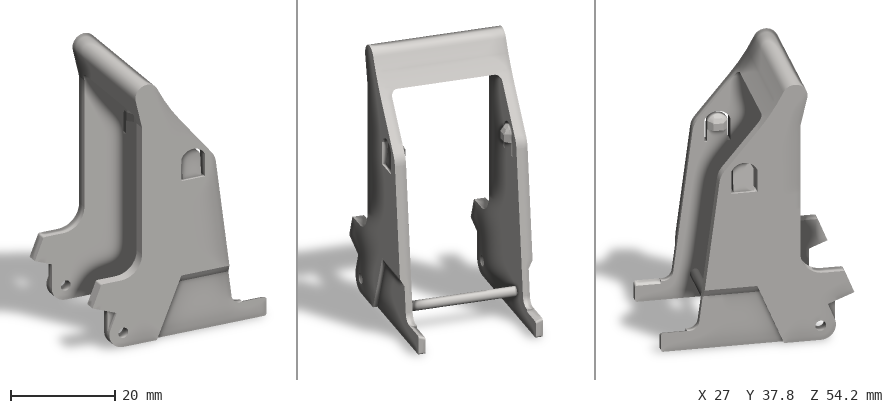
import cadquery as cq
import math


WIDTH = 27.0
LEG_THICKNESS = 2.3
HALF_WIDTH = WIDTH / 2
INNER_X = HALF_WIDTH - LEG_THICKNESS
OPENING_WIDTH = 2 * INNER_X
OPENING_TOP = 47.05
OPENING_RADIUS = 1.3

HEIGHT = 54.2
HEAD_RADIUS = 2.5
HEAD_Y = 1.1
HEAD_Z = HEIGHT - HEAD_RADIUS
HEAD_BACK_LEAN = 27.0
HEAD_FRONT_LEAN = 14.5
HEAD_FRONT_BOTTOM = 45.35
BLEND_BOTTOM = (8.2, 45.35)

SHOULDER = (15.7, 36.25)
SHOULDER_RADIUS = 4.1
FOOT_BACK = 27.15
OPENING_LENGTH = 2 * FOOT_BACK
FOOT_HEIGHT = 3.9
FOOT_CORNER_Y = 19.9
FOOT_CORNER_RADIUS = 1.95
FOOT_END_RADIUS = 0.45
FOOT_SLOPE_LENGTH = 5.1
FOOT_SLOPE_DROP = 0.515

NOSE_TOP = 14.1
NOSE_TOP_Y = -8.7
NOSE_TIP = (-10.6, 9.45)
NOSE_RADIUS = 0.45
NOSE_BLEND_RADIUS = 4.55
NOSE_SLANT = math.atan2(NOSE_TOP_Y - NOSE_TIP[0], NOSE_TOP - NOSE_TIP[1])
BOSS_RADIUS = 3.0
PIVOT_Y = -4.0
PIVOT_Z = BOSS_RADIUS
PIVOT_DIAMETER = 2.1
BOSS_FRONT = PIVOT_Y - BOSS_RADIUS

STEP_DEPTH = 0.85
NOTCH_TOP = 7.4
RECESS_TOP = 12.5
RECESS_FULL_DEPTH_TOP = 10.95
RECESS_TOP_Y = 8.45
RECESS_BOTTOM_Y = 3.2

CHAMFER_WIDTH = 1.1
CHAMFER_HEIGHT = 1.75
CHAMFER_BACK = -0.15

ROD_DIAMETER = 2.0
ROD_Y = 15.4
ROD_Z = 4.95

LATCH_Y = 11.0
LATCH_ARC_Z = 35.95
LATCH_BOTTOM = 32.4
ARM_WIDTH = 4.0
ARM_ARC_RADIUS = 2.2
LATCH_GAP = 0.55
WINDOW_WIDTH = ARM_WIDTH + 2 * LATCH_GAP
WINDOW_ARC_RADIUS = ARM_ARC_RADIUS + LATCH_GAP
ARM_TOP = LATCH_ARC_Z + ARM_ARC_RADIUS
ARM_BOTTOM_INSET = 0.6
ARM_TOP_INSET = 1.2

HOOK_REACH = 1.2
HOOK_SIDE_STEP = 0.15
HOOK_TAPER = 45.0
HOOK_BOTTOM = 35.05
HOOK_FACE_TOP = 36.5
HOOK_KNEE_REACH = 0.7

def slope_z(start, end, y):
    """Height at y of the straight line from start to end."""
    return start[1] + (end[1] - start[1]) * (y - start[0]) / (end[0] - start[0])

def pivot_circle_point(angle):
    """Point of the boss rim, with the angle measured upwards from its front."""
    return (PIVOT_Y - BOSS_RADIUS * math.cos(angle), PIVOT_Z + BOSS_RADIUS * math.sin(angle))

NOTCH_RIM = pivot_circle_point(NOSE_SLANT)
NOTCH_CORNER = (NOTCH_RIM[0] + (NOTCH_TOP - NOTCH_RIM[1]) * math.tan(NOSE_SLANT), NOTCH_TOP)
BOSS_TOP = slope_z(NOSE_TIP, NOTCH_CORNER, BOSS_FRONT)

def round_corner(body, y, z, radius):
    """Fillet the X-parallel edge nearest to the given outline corner."""
    corner = cq.selectors.NearestToPointSelector((0, y, z))
    return body.edges("|X").edges(corner).fillet(radius)

def side_body():
    """The side outline carried across the whole width."""
    back = math.radians(HEAD_BACK_LEAN)
    front = math.radians(HEAD_FRONT_LEAN)
    head_back = (HEAD_Y + HEAD_RADIUS * math.cos(back), HEAD_Z + HEAD_RADIUS * math.sin(back))
    head_front = (HEAD_Y - HEAD_RADIUS * math.cos(front), HEAD_Z - HEAD_RADIUS * math.sin(front))
    body = (
        cq.Workplane("YZ", origin=(-HALF_WIDTH, 0, 0))
        .moveTo(FOOT_BACK, 0)
        .lineTo(FOOT_BACK, FOOT_HEIGHT)
        .lineTo(FOOT_CORNER_Y, FOOT_HEIGHT)
        .lineTo(*SHOULDER)
        .lineTo(*BLEND_BOTTOM)
        .tangentArcPoint(head_back, relative=False)
        .threePointArc((HEAD_Y, HEIGHT), head_front)
        .lineTo(0, HEAD_FRONT_BOTTOM)
        .lineTo(0, NOSE_TOP)
        .lineTo(NOSE_TOP_Y, NOSE_TOP)
        .lineTo(*NOSE_TIP)
        .lineTo(BOSS_FRONT, BOSS_TOP)
        .lineTo(BOSS_FRONT, 0)
        .close()
        .extrude(WIDTH)
    )
    body = round_corner(body, FOOT_BACK, 0, FOOT_END_RADIUS)
    body = round_corner(body, FOOT_CORNER_Y, FOOT_HEIGHT, FOOT_CORNER_RADIUS)
    body = round_corner(body, *SHOULDER, SHOULDER_RADIUS)
    body = round_corner(body, 0, NOSE_TOP, NOSE_BLEND_RADIUS)
    body = round_corner(body, NOSE_TOP_Y, NOSE_TOP, NOSE_RADIUS)
    return round_corner(body, BOSS_FRONT, 0, BOSS_RADIUS)

def leg_opening():
    """Space between the legs, open at the bottom and rounded under the crossbar."""
    return (
        cq.Workplane("XY")
        .box(OPENING_WIDTH, OPENING_LENGTH, OPENING_TOP, centered=(True, True, False))
        .edges("|Y and >Z")
        .fillet(OPENING_RADIUS)
    )

def rear_recess():
    """Shallow step in the outer face of the +X leg, with a sloping upper edge."""
    floor_x = HALF_WIDTH - STEP_DEPTH
    section = (
        cq.Workplane("XZ", origin=(0, FOOT_BACK, 0))
        .polyline([
            (HALF_WIDTH, 0),
            (floor_x, 0),
            (floor_x, RECESS_FULL_DEPTH_TOP),
            (HALF_WIDTH, RECESS_TOP),
        ])
        .close()
        .extrude(FOOT_BACK)
    )
    area = (
        cq.Workplane("YZ")
        .polyline([
            (RECESS_BOTTOM_Y, 0),
            (RECESS_TOP_Y, RECESS_TOP),
            (FOOT_BACK, RECESS_TOP),
            (FOOT_BACK, 0),
        ])
        .close()
        .extrude(HALF_WIDTH)
    )
    return section.intersect(area)

def foot_slope():
    """Wedge off the top of the +X foot, which then falls towards the middle."""
    return (
        cq.Workplane("XZ", origin=(0, FOOT_BACK, 0))
        .polyline([
            (HALF_WIDTH - STEP_DEPTH, FOOT_HEIGHT),
            (INNER_X, FOOT_HEIGHT - FOOT_SLOPE_DROP),
            (INNER_X, FOOT_HEIGHT),
        ])
        .close()
        .extrude(FOOT_SLOPE_LENGTH)
    )

def round_foot_end(body, side):
    """Fillet the sloping upper edge at the end of one foot; side is 1 or -1."""
    middle_x = side * (INNER_X + HALF_WIDTH - STEP_DEPTH) / 2
    middle_z = FOOT_HEIGHT - FOOT_SLOPE_DROP / 2
    edge = cq.selectors.NearestToPointSelector((middle_x, FOOT_BACK, middle_z))
    return body.edges(edge).fillet(FOOT_END_RADIUS)

def boss_notch():
    """Wedge removed from the outer face of the +X boss, under the nose."""
    return (
        cq.Workplane("YZ", origin=(HALF_WIDTH - STEP_DEPTH, 0, 0))
        .moveTo(*NOTCH_CORNER)
        .lineTo(*NOTCH_RIM)
        .threePointArc(pivot_circle_point(NOSE_SLANT / 2), (BOSS_FRONT, PIVOT_Z))
        .lineTo(BOSS_FRONT, BOSS_TOP)
        .close()
        .extrude(STEP_DEPTH)
    )

def inner_chamfer():
    """Chamfer on the inner lower edge of the +X boss."""
    return (
        cq.Workplane("XZ", origin=(0, CHAMFER_BACK, 0))
        .polyline([(INNER_X, 0), (INNER_X + CHAMFER_WIDTH, 0), (INNER_X, CHAMFER_HEIGHT)])
        .close()
        .extrude(CHAMFER_BACK - BOSS_FRONT)
    )

def arch(start_x, width, arc_radius):
    """Arched latch outline on the plane at start_x, ready to extrude."""
    half = width / 2
    spring_z = LATCH_ARC_Z + math.sqrt(arc_radius**2 - half**2)
    return (
        cq.Workplane("YZ", origin=(start_x, LATCH_Y, 0))
        .moveTo(-half, LATCH_BOTTOM)
        .lineTo(-half, spring_z)
        .threePointArc((0, LATCH_ARC_Z + arc_radius), (half, spring_z))
        .lineTo(half, LATCH_BOTTOM)
        .close()
    )

def latch_section(points):
    """Prism across the latch from a section given in X and Z."""
    return (
        cq.Workplane("XZ", origin=(0, LATCH_Y, 0))
        .polyline(points)
        .close()
        .extrude(ARM_WIDTH / 2, both=True)
    )

def latch():
    """Leaning arm with its hook, on the -X leg."""
    arm_section = latch_section([
        (-INNER_X, LATCH_BOTTOM),
        (-HALF_WIDTH + ARM_BOTTOM_INSET, LATCH_BOTTOM),
        (-HALF_WIDTH + ARM_TOP_INSET, ARM_TOP),
        (-INNER_X, ARM_TOP),
    ])
    arm = arch(-HALF_WIDTH, ARM_WIDTH, ARM_ARC_RADIUS).extrude(LEG_THICKNESS).intersect(arm_section)

    hook_section = latch_section([
        (-INNER_X, HOOK_BOTTOM),
        (-INNER_X + HOOK_REACH, HOOK_BOTTOM),
        (-INNER_X + HOOK_REACH, HOOK_FACE_TOP),
        (-INNER_X + HOOK_KNEE_REACH, ARM_TOP - HOOK_KNEE_REACH),
        (-INNER_X, ARM_TOP),
    ])
    hook_root = arch(-INNER_X, ARM_WIDTH, ARM_ARC_RADIUS).extrude(HOOK_SIDE_STEP)
    hook_taper = arch(-INNER_X + HOOK_SIDE_STEP, ARM_WIDTH, ARM_ARC_RADIUS).extrude(
        HOOK_REACH - HOOK_SIDE_STEP, taper=HOOK_TAPER
    )
    return arm.union(hook_root.union(hook_taper).intersect(hook_section))

def cylinder_across(y, z, diameter, length):
    """Cylinder along X, centred on the middle of the frame."""
    return cq.Workplane("YZ", origin=(-length / 2, y, z)).circle(diameter / 2).extrude(length)

def both_legs(feature):
    """The feature together with its mirror image on the other leg."""
    return feature.union(feature.mirror("YZ"))

frame = side_body().cut(leg_opening())
frame = frame.cut(both_legs(rear_recess()))
frame = frame.cut(both_legs(foot_slope()))
for side in (-1, 1):
    frame = round_foot_end(frame, side)
frame = frame.cut(both_legs(boss_notch()))
frame = frame.cut(inner_chamfer())
frame = frame.cut(cylinder_across(PIVOT_Y, PIVOT_Z, PIVOT_DIAMETER, WIDTH))
frame = frame.cut(arch(-HALF_WIDTH, WINDOW_WIDTH, WINDOW_ARC_RADIUS).extrude(WIDTH))
frame = frame.union(both_legs(latch()))
result = frame.union(cylinder_across(ROD_Y, ROD_Z, ROD_DIAMETER, OPENING_WIDTH))